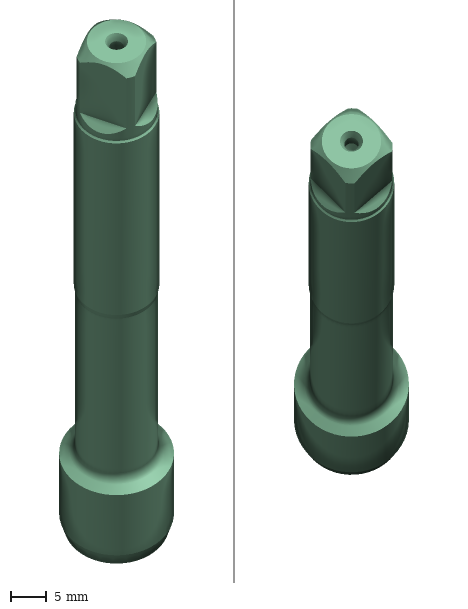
import cadquery as cq
import math

TOTAL_LENGTH = 100
THREAD_LENGTH = 15

THREAD_RADIUS = 16.1 / 2
LEAD_LENGTH = 2.8
LEAD_RADIUS = 7.4
TIP_CONE_HEIGHT = 0.4

SHOULDER_RIM_HEIGHT = 0.2
SHOULDER_ANGLE = 30
SHOULDER_FILLET_RADIUS = 1.5
NECK_RADIUS = 11.7 / 2
NECK_END_Z = 49.2

SHANK_RADIUS = 12 / 2
SHANK_START_Z = 50.1
SHANK_END_Z = 85.7
SHANK_CHAMFER = 0.25

DRIVE_RADIUS = SHANK_RADIUS - SHANK_CHAMFER
DRIVE_TOP_CHAMFER = 1.6
SQUARE_WIDTH = 9
SQUARE_LENGTH = 11.9

CENTER_HOLE_RADIUS = 2 / 2
CENTER_HOLE_DEPTH = 3
CENTER_MOUTH_RADIUS = 1.6
CENTER_CONE_ANGLE = 60
DRILL_POINT_ANGLE = 120


def make_thread_section():
    """Cutting end of the tap, from the tip up to the shoulder."""
    return (
        cq.Workplane("XZ")
        .lineTo(LEAD_RADIUS, TIP_CONE_HEIGHT)
        .lineTo(THREAD_RADIUS, LEAD_LENGTH)
        .lineTo(THREAD_RADIUS, THREAD_LENGTH)
        .lineTo(0, THREAD_LENGTH)
        .close()
        .revolve(360, (0, 0), (0, 1))
    )


def make_turned_shank():
    """Shoulder, neck, shank and round drive end, turned about Z."""
    slope = math.radians(SHOULDER_ANGLE)
    rim_z = THREAD_LENGTH + SHOULDER_RIM_HEIGHT
    fillet_start_radius = NECK_RADIUS + SHOULDER_FILLET_RADIUS * (1 - math.sin(slope))
    fillet_start_z = rim_z + (THREAD_RADIUS - fillet_start_radius) * math.tan(slope)
    neck_start_z = fillet_start_z + SHOULDER_FILLET_RADIUS * math.cos(slope)
    return (
        cq.Workplane("XZ")
        .moveTo(0, THREAD_LENGTH)
        .lineTo(THREAD_RADIUS, THREAD_LENGTH)
        .lineTo(THREAD_RADIUS, rim_z)
        .lineTo(fillet_start_radius, fillet_start_z)
        .tangentArcPoint((NECK_RADIUS, neck_start_z), relative=False)
        .lineTo(NECK_RADIUS, NECK_END_Z)
        .lineTo(SHANK_RADIUS, SHANK_START_Z)
        .lineTo(SHANK_RADIUS, SHANK_END_Z - SHANK_CHAMFER)
        .lineTo(DRIVE_RADIUS, SHANK_END_Z)
        .lineTo(DRIVE_RADIUS, TOTAL_LENGTH - DRIVE_TOP_CHAMFER)
        .lineTo(DRIVE_RADIUS - DRIVE_TOP_CHAMFER, TOTAL_LENGTH)
        .lineTo(0, TOTAL_LENGTH)
        .close()
        .revolve(360, (0, 0), (0, 1))
    )


def make_flat_cutter():
    """Material beside one flat of the square; its floor slopes outward at 45 degrees."""
    flat_x = SQUARE_WIDTH / 2
    outer_x = SHANK_RADIUS
    floor_z = TOTAL_LENGTH - SQUARE_LENGTH
    return (
        cq.Workplane("XZ")
        .moveTo(flat_x, TOTAL_LENGTH)
        .lineTo(flat_x, floor_z)
        .lineTo(outer_x, floor_z - (outer_x - flat_x))
        .lineTo(outer_x, TOTAL_LENGTH)
        .close()
        .extrude(SHANK_RADIUS, both=True)
    )


def make_center_hole():
    """Conical mouth, straight pilot and drill point."""
    mouth_depth = (CENTER_MOUTH_RADIUS - CENTER_HOLE_RADIUS) / math.tan(math.radians(CENTER_CONE_ANGLE / 2))
    point_depth = CENTER_HOLE_RADIUS / math.tan(math.radians(DRILL_POINT_ANGLE / 2))
    return (
        cq.Workplane("XZ")
        .moveTo(0, TOTAL_LENGTH)
        .lineTo(CENTER_MOUTH_RADIUS, TOTAL_LENGTH)
        .lineTo(CENTER_HOLE_RADIUS, TOTAL_LENGTH - mouth_depth)
        .lineTo(CENTER_HOLE_RADIUS, TOTAL_LENGTH - CENTER_HOLE_DEPTH)
        .lineTo(0, TOTAL_LENGTH - CENTER_HOLE_DEPTH - point_depth)
        .close()
        .revolve(360, (0, 0), (0, 1))
    )


def make_shank():
    """Turned shank with the four drive flats and the center hole cut into it."""
    body = make_turned_shank().cut(make_center_hole())
    flat_cutter = make_flat_cutter()
    for angle in (0, 90, 180, 270):
        body = body.cut(flat_cutter.rotate((0, 0, 0), (0, 0, 1), angle))
    return body


thread_section = make_thread_section()
shank = make_shank()

result = cq.Compound.makeCompound([thread_section.val(), shank.val()])